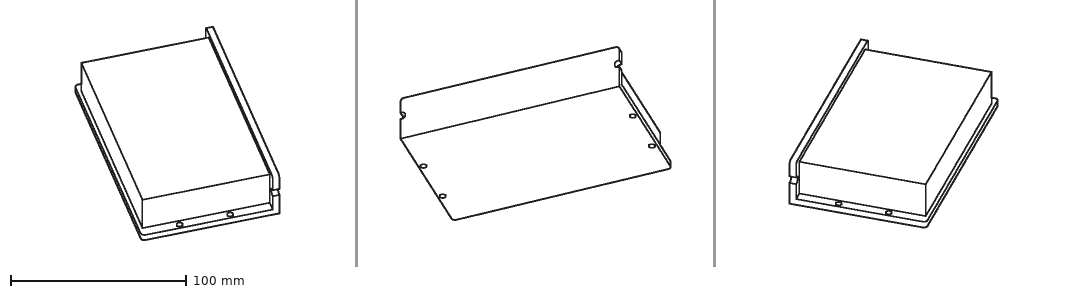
import cadquery as cq

length = 134.0
depth = 82.0
height = 29.0

plate_thickness = 4.0
corner_radius = 2.3

side_margin = 6.0
front_margin = 2.3
top_margin = 3.2

hole_diameter = 3.5
hole_edge_distance = 3.0
front_hole_y = 23.5
hole_spacing = 30.0

slot_width = 4.5
slot_depth = 3.0
slot_height = 16.5


def make_base():
    base = cq.Workplane("XY").box(length, depth, plate_thickness, centered=(True, False, False))
    return base.edges("|Z and <Y").fillet(corner_radius)


def make_rear_plate():
    plate = cq.Workplane("XY").box(length, plate_thickness, height, centered=(True, False, False))
    plate = plate.edges("|Y and >Z").fillet(corner_radius)
    return plate.translate((0, depth - plate_thickness, 0))


def make_block():
    block_length = length - 2 * side_margin
    block_depth = depth - plate_thickness - front_margin
    block_height = height - top_margin
    block = cq.Workplane("XY").box(block_length, block_depth, block_height, centered=(True, False, False))
    return block.translate((0, front_margin, 0))


def make_holes():
    hole_x = length / 2 - hole_edge_distance
    centers = [
        (x, y)
        for x in (-hole_x, hole_x)
        for y in (front_hole_y, front_hole_y + hole_spacing)
    ]
    return cq.Workplane("XY").pushPoints(centers).circle(hole_diameter / 2).extrude(plate_thickness)


def make_slots():
    centers = [(-length / 2, slot_height), (length / 2, slot_height)]
    slots = cq.Workplane("XZ", origin=(0, depth, 0)).pushPoints(centers)
    return slots.slot2D(2 * slot_depth, slot_width).extrude(plate_thickness)


body = make_base().union(make_rear_plate()).union(make_block())
result = body.cut(make_holes()).cut(make_slots())